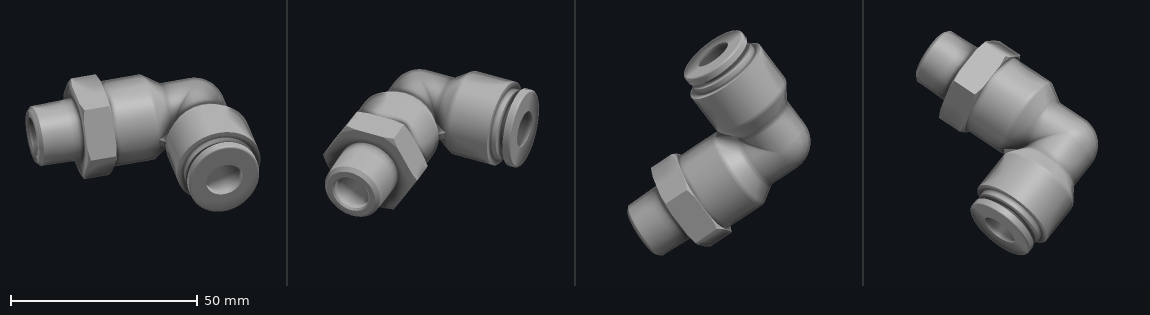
import cadquery as cq
import math


BORE_DIAMETER = 10.0

NECK_DIAMETER = 16.7
SLEEVE_DIAMETER = 23.2
LEG_LENGTH = 25.0
CONE_START = 8.25
CONE_END = 13.15
CONE_BLEND_RADIUS = 1.8
WEB_THICKNESS = 2.0
WEB_REACH = 12.0

HEX_ACROSS_FLATS = 24.0
HEX_LENGTH = 8.0
HEX_FACE_DIAMETER = 25.15
HEX_CHAMFER_LENGTH = 0.55
STUD_END = 45.0
THREAD_START_DIAMETER = 17.0
THREAD_TAPER = 1 / 16
THREAD_CHAMFER = 1.0
MOUTH_CHAMFER = 0.5

COLLAR_DIAMETER = 19.6
COLLAR_LENGTH = 1.8
COLLAR_EDGE_RADIUS = 0.2

BUTTON_END = 30.9
BUTTON_NECK_DIAMETER = 14.2
FLANGE_WIDTH = 19.6
FLANGE_HEIGHT = 22.45
FLANGE_THICKNESS = 2.15
FLANGE_EDGE_RADIUS = 0.5

BORE_RADIUS = BORE_DIAMETER / 2
NECK_RADIUS = NECK_DIAMETER / 2
SLEEVE_RADIUS = SLEEVE_DIAMETER / 2
HEX_END = LEG_LENGTH + HEX_LENGTH
HEX_ACROSS_CORNERS = HEX_ACROSS_FLATS / math.cos(math.pi / 6)
THREAD_END_DIAMETER = THREAD_START_DIAMETER - THREAD_TAPER * (STUD_END - HEX_END)
COLLAR_END = LEG_LENGTH + COLLAR_LENGTH
FLANGE_START = BUTTON_END - FLANGE_THICKNESS


def revolve_about_x(points):
    """Turn an outline of (axial position, radius) points about the X axis."""
    return cq.Workplane("XY").polyline(points).close().revolve(360, (0, 0, 0), (1, 0, 0))


def x_cylinder(diameter, start, end):
    return cq.Workplane("YZ", origin=(start, 0, 0)).circle(diameter / 2).extrude(end - start)


def to_stud_leg(body):
    """Swing a body built along +X round to -Y."""
    return body.rotate((0, 0, 0), (0, 0, 1), -90)


def make_leg():
    """One solid leg of the elbow along +X, widening from the neck to the sleeve."""
    leg = revolve_about_x([
        (0, 0),
        (0, NECK_RADIUS),
        (CONE_START, NECK_RADIUS),
        (CONE_END, SLEEVE_RADIUS),
        (LEG_LENGTH, SLEEVE_RADIUS),
        (LEG_LENGTH, 0),
    ])
    return leg.faces("%CONE").edges("%CIRCLE").fillet(CONE_BLEND_RADIUS)


def make_web():
    """Thin flat web that fills the inside corner between the two cones."""
    return (
        cq.Workplane("XY", origin=(0, 0, -WEB_THICKNESS / 2))
        .polyline([(0, 0), (2 * WEB_REACH, 0), (0, -2 * WEB_REACH)])
        .close()
        .extrude(WEB_THICKNESS)
    )


def make_elbow():
    bend = cq.Workplane("XY").sphere(NECK_RADIUS)
    bore = cq.Workplane("XY").sphere(BORE_RADIUS)
    leg_bore = x_cylinder(BORE_DIAMETER, 0, LEG_LENGTH)
    leg = make_leg()
    solid_elbow = bend.union(leg).union(to_stud_leg(leg)).union(make_web())
    return solid_elbow.cut(bore).cut(leg_bore).cut(to_stud_leg(leg_bore))


def make_hexagon():
    """Hexagon with its corners turned down to a cone at both ends."""
    prism = (
        cq.Workplane("YZ", origin=(LEG_LENGTH, 0, 0))
        .polygon(6, HEX_ACROSS_CORNERS)
        .extrude(HEX_LENGTH)
    )
    turned = revolve_about_x([
        (LEG_LENGTH, 0),
        (LEG_LENGTH, HEX_FACE_DIAMETER / 2),
        (LEG_LENGTH + HEX_CHAMFER_LENGTH, HEX_ACROSS_CORNERS / 2),
        (HEX_END - HEX_CHAMFER_LENGTH, HEX_ACROSS_CORNERS / 2),
        (HEX_END, HEX_FACE_DIAMETER / 2),
        (HEX_END, 0),
    ])
    return prism.intersect(turned)


def make_stud():
    thread = revolve_about_x([
        (HEX_END, 0),
        (HEX_END, THREAD_START_DIAMETER / 2),
        (STUD_END, THREAD_END_DIAMETER / 2),
        (STUD_END, 0),
    ]).faces(">X").edges().chamfer(THREAD_CHAMFER)
    stud = make_hexagon().union(thread)
    stud = stud.cut(x_cylinder(BORE_DIAMETER, LEG_LENGTH, STUD_END))
    bore_mouth = cq.selectors.RadiusNthSelector(0)
    stud = stud.faces(">X").edges(bore_mouth).chamfer(MOUTH_CHAMFER)
    return to_stud_leg(stud)


def make_collar():
    ring = x_cylinder(COLLAR_DIAMETER, LEG_LENGTH, COLLAR_END)
    ring = ring.faces(">X").edges().fillet(COLLAR_EDGE_RADIUS)
    return ring.cut(x_cylinder(BORE_DIAMETER, LEG_LENGTH, COLLAR_END))


def make_button():
    """Release button: round neck with an oval flange that is taller than wide."""
    flange = (
        cq.Workplane("YZ", origin=(FLANGE_START, 0, 0))
        .ellipse(FLANGE_WIDTH / 2, FLANGE_HEIGHT / 2)
        .extrude(FLANGE_THICKNESS)
        .faces(">X")
        .edges()
        .fillet(FLANGE_EDGE_RADIUS)
    )
    neck = x_cylinder(BUTTON_NECK_DIAMETER, COLLAR_END, FLANGE_START)
    return flange.union(neck).cut(x_cylinder(BORE_DIAMETER, COLLAR_END, BUTTON_END))


elbow = make_elbow()
stud = make_stud()
collar = make_collar()
button = make_button()

result = cq.Compound.makeCompound([elbow.val(), stud.val(), collar.val(), button.val()])